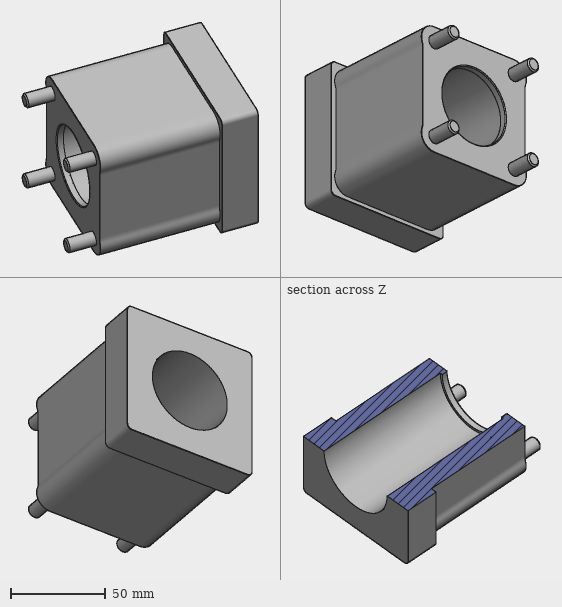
import cadquery as cq
import math

total_length = 106.0
flange_thickness = 21.0
pin_length = 16.0
body_length = total_length - flange_thickness - pin_length
flange_front = total_length / 2 - flange_thickness
body_front = flange_front - body_length

flange_side = 80.0
flange_corner_radius = 3.0
edge_chamfer = 0.2

body_side = 75.0
lobe_radius = 9.0
side_recess = 1.1

lip_diameter = 45.0
lip_length = 4.0
lip_chamfer = 0.5
bore_diameter = 48.0

pin_circle_diameter = flange_side
pin_diameter = 8.0
pin_chamfer = 0.8


def make_flange():
    return (
        cq.Workplane("XZ", origin=(0, flange_front, 0))
        .rect(flange_side, flange_side)
        .extrude(-flange_thickness)
        .edges("|Y")
        .fillet(flange_corner_radius)
        .faces("<Y or >Y")
        .chamfer(edge_chamfer)
    )


def make_body():
    half = body_side / 2
    center = half - lobe_radius
    side_x = half - side_recess
    sweep = math.acos(1 - side_recess / (2 * lobe_radius))
    join_x = half - side_recess / 2
    join_z = center - lobe_radius * math.sin(sweep)
    side_z = center - 2 * lobe_radius * math.sin(sweep)
    lobe_mid = center + lobe_radius * math.sqrt(0.5)
    blend_x = side_x + lobe_radius * (1 - math.cos(sweep / 2))
    blend_z = side_z + lobe_radius * math.sin(sweep / 2)

    outline = (
        cq.Workplane("XZ", origin=(0, flange_front, 0))
        .moveTo(-center, half)
        .lineTo(center, half)
        .threePointArc((lobe_mid, lobe_mid), (join_x, join_z))
        .threePointArc((blend_x, blend_z), (side_x, side_z))
        .lineTo(side_x, -side_z)
        .threePointArc((blend_x, -blend_z), (join_x, -join_z))
        .threePointArc((lobe_mid, -lobe_mid), (center, -half))
        .lineTo(-center, -half)
        .threePointArc((-lobe_mid, -lobe_mid), (-join_x, -join_z))
        .threePointArc((-blend_x, -blend_z), (-side_x, -side_z))
        .lineTo(-side_x, side_z)
        .threePointArc((-blend_x, blend_z), (-join_x, join_z))
        .threePointArc((-lobe_mid, lobe_mid), (-center, half))
        .close()
    )
    return outline.extrude(body_length).faces("<Y").chamfer(edge_chamfer)


def make_bore():
    lip_radius = lip_diameter / 2
    bore_radius = bore_diameter / 2
    lip_end = body_front + lip_length
    back = total_length / 2
    return (
        cq.Workplane("XY")
        .moveTo(0, body_front)
        .lineTo(lip_radius + lip_chamfer, body_front)
        .lineTo(lip_radius, body_front + lip_chamfer)
        .lineTo(lip_radius, lip_end)
        .lineTo(bore_radius, lip_end)
        .lineTo(bore_radius, back)
        .lineTo(0, back)
        .close()
        .revolve(360, (0, 0, 0), (0, 1, 0))
    )


def make_pins():
    spacing = pin_circle_diameter * math.sqrt(0.5)
    return (
        cq.Workplane("XZ", origin=(0, body_front, 0))
        .rect(spacing, spacing, forConstruction=True)
        .vertices()
        .circle(pin_diameter / 2)
        .extrude(pin_length)
        .faces("<Y")
        .chamfer(pin_chamfer)
    )


result = make_flange().union(make_body()).cut(make_bore()).union(make_pins())